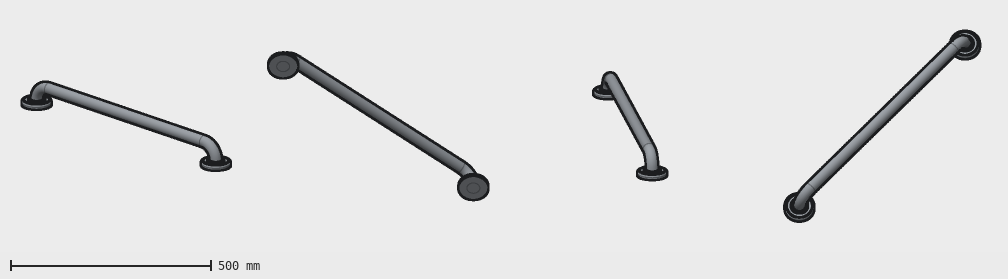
import cadquery as cq

length = 686.0
height = 70.0

flange_diameter = 76.0
flange_radius = flange_diameter / 2
band_height = 7.0
rim_fillet = 5.5
face_height = 14.0
face_radius = 31.5
collar_radius = 22.0
collar_top_radius = 20.0
collar_height = 16.0

tube_diameter = 32.0
tube_radius = tube_diameter / 2
bend_radius = 41.0
axis_height = height - tube_radius
post_x = length / 2 - flange_radius
bend_x = post_x - bend_radius
bend_start_z = axis_height - bend_radius


def make_flange(center_x):
    """Revolved flange with a rounded shoulder, a small step up to its face and a raised tapered collar."""
    band = cq.Workplane("XY").circle(flange_radius).extrude(band_height)
    profile = (
        cq.Workplane("XZ")
        .moveTo(0, band_height)
        .lineTo(flange_radius, band_height)
        .radiusArc((flange_radius - rim_fillet, band_height + rim_fillet), -rim_fillet)
        .lineTo(face_radius, face_height)
        .lineTo(collar_radius, face_height)
        .lineTo(collar_top_radius, collar_height)
        .lineTo(0, collar_height)
        .close()
    )
    upper = profile.revolve(360, (0, 0, 0), (0, 1, 0))
    return band.union(upper, clean=False).translate((center_x, 0, 0))


def make_tube():
    """Straight grip with a quarter bend down to the flange at each end."""
    path = (
        cq.Workplane("XZ")
        .moveTo(-post_x, 0)
        .lineTo(-post_x, bend_start_z)
        .tangentArcPoint((-bend_x, axis_height), relative=False)
        .lineTo(bend_x, axis_height)
        .tangentArcPoint((post_x, bend_start_z), relative=False)
        .lineTo(post_x, 0)
    )
    return cq.Workplane("XY").center(-post_x, 0).circle(tube_radius).sweep(path)


result = make_tube()
for flange_x in (-post_x, post_x):
    result = result.union(make_flange(flange_x), clean=False)